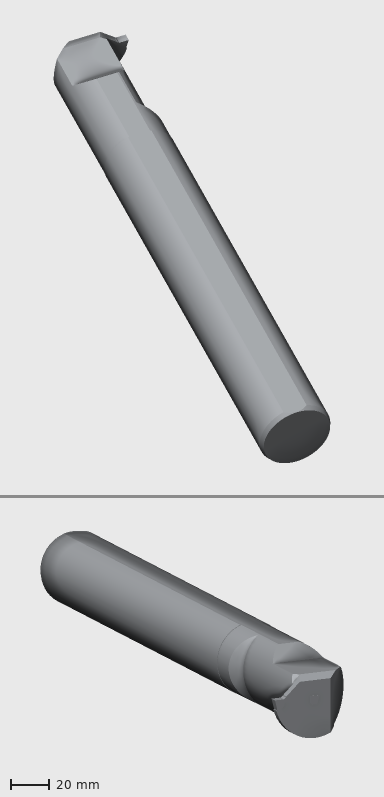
import cadquery as cq
import math

length = 300.0
shank_radius = 20.0
flat_height = 19.0
shank_start = 84.5
end_chamfer_length = 2.7
end_chamfer_depth = 1.2

neck_radius = 19.8

face_setback = 0.3

step_height = 10.8
step_floor_end = 32.5
step_end = 39.5
bevel_length = 6.0
bevel_front_height = 8.25

blade_thickness = 4.2
blade_radius = 22.95
blade_center_y = 4.0
ramp_outer_y = 20.5
ramp_outer_z = 1.2
ramp_inner_y = 10.0
ramp_inner_z = step_height
ramp_length = 5.7
ramp_wall_run = 0.8
ramp_wall_rise = 0.55

relief_reach = 15.3
relief_radius = 25.0
relief_center_y = relief_reach - relief_radius
relief_end = 62.7
relief_runout = 8.5
relief_flare = 4.5

corner_y = -5.0
corner_size = 24.0

tip_y = 27.1
insert_inner_y = 1.2
insert_height = 5.7
insert_ridge = 1.0
cutting_land = 5.5
land_slope = 1.0
tip_relief = 1.5
tip_depth = 4.8
tip_corner = 1.2

cut_size = 60.0


def rod(radius, start, end, y=0.0):
    """Round bar along X."""
    return cq.Workplane("YZ", origin=(start, y, 0)).circle(radius).extrude(end - start)


def slab_between_flats(start, end, bottom):
    """Block that limits a bar to the top flat and a chosen bottom height."""
    return (
        cq.Workplane("XY", origin=(start, 0, bottom))
        .rect(end - start, cut_size, centered=(False, True))
        .extrude(flat_height - bottom)
    )


def make_shank():
    profile = [
        (shank_start, 0),
        (shank_start, shank_radius),
        (length - end_chamfer_length, shank_radius),
        (length, shank_radius - end_chamfer_depth),
        (length, 0),
    ]
    bar = cq.Workplane("XY").polyline(profile).close().revolve(360, (0, 0, 0), (1, 0, 0))
    return bar.intersect(slab_between_flats(shank_start, length, -flat_height))


def make_relief_envelope():
    """Space left inside the eccentric relief, flaring out at its rear end."""
    flare_end = relief_end + relief_runout
    flare_radius = relief_radius + relief_flare
    profile = [
        (0, 0),
        (0, relief_radius),
        (relief_end, relief_radius),
        (flare_end, flare_radius),
        (flare_end, cut_size),
        (shank_start, cut_size),
        (shank_start, 0),
    ]
    turned = cq.Workplane("XY").polyline(profile).close().revolve(360, (0, 0, 0), (1, 0, 0))
    return turned.translate((0, relief_center_y, 0))


def make_neck():
    neck = rod(neck_radius, face_setback, shank_start)
    neck = neck.intersect(slab_between_flats(0, shank_start, -cut_size))
    return neck.intersect(make_relief_envelope())


def make_top_step_cut():
    profile = [
        (0, bevel_front_height),
        (bevel_length, step_height),
        (step_floor_end, step_height),
        (step_end, flat_height),
        (step_end, cut_size),
        (0, cut_size),
    ]
    return cq.Workplane("XZ").polyline(profile).close().extrude(cut_size, both=True)


def make_ramp_cut():
    """Material above the sloping top edge of the blade, with an inclined rear wall."""
    drop_y = ramp_outer_y - ramp_inner_y
    drop_z = ramp_inner_z - ramp_outer_z
    along_ramp = cq.Plane(
        origin=(0, ramp_outer_y, ramp_outer_z), xDir=(1, 0, 0), normal=(0, -drop_y, drop_z)
    )
    cut_height = step_height
    wall_top = ramp_length + ramp_wall_run * cut_height / ramp_wall_rise
    profile = [(0, 0), (ramp_length, 0), (wall_top, cut_height), (0, cut_height)]
    return cq.Workplane(along_ramp).polyline(profile).close().extrude(math.hypot(drop_y, drop_z))


def make_corner_cut():
    profile = [(0, corner_y), (corner_size, corner_y - corner_size), (0, corner_y - corner_size)]
    return cq.Workplane("XY").polyline(profile).close().extrude(cut_size, both=True)


def make_insert_body():
    """Bar lying along Y, with a lower land at each end of its top."""
    outer_land = tip_y - cutting_land
    inner_land = insert_inner_y + cutting_land
    profile = [
        (tip_y, 0),
        (outer_land, 0),
        (outer_land - land_slope, insert_ridge),
        (inner_land + land_slope, insert_ridge),
        (inner_land, 0),
        (insert_inner_y, 0),
        (insert_inner_y, -insert_height),
        (tip_y - tip_relief, -insert_height),
    ]
    bar = cq.Workplane("YZ", origin=(face_setback, 0, 0)).polyline(profile).close()
    return bar.extrude(blade_thickness - face_setback)


def make_insert_tip(end_y, inward):
    """Raised cutting tip on the insert face; inward is the Y direction to the insert middle."""
    relief_y = end_y + inward * tip_relief * tip_depth / insert_height
    root_y = end_y + inward * cutting_land
    profile = [
        (end_y, 0),
        (relief_y, -tip_depth),
        (root_y - inward * tip_corner, -tip_depth),
        (root_y, tip_corner - tip_depth),
        (root_y, 0),
    ]
    return cq.Workplane("YZ").polyline(profile).close().extrude(face_setback)


def make_insert():
    """Double-ended grooving insert, cutting edges on the axis height."""
    insert = make_insert_body()
    for end_y, inward in ((tip_y, -1), (insert_inner_y, 1)):
        insert = insert.union(make_insert_tip(end_y, inward))
    return insert


def make_seat_cut():
    """Slot for the insert, open upward where the cutting tip sticks out."""
    tip_clearance = (
        cq.Workplane("XY", origin=(0, ramp_outer_y, -insert_height))
        .rect(blade_thickness, cut_size, centered=False)
        .extrude(cut_size)
    )
    return make_insert_body().union(tip_clearance)


def make_holder():
    blade = rod(blade_radius, face_setback, blade_thickness, blade_center_y)
    holder = make_neck().union(blade).union(make_shank())
    for cut in (make_top_step_cut(), make_ramp_cut(), make_corner_cut(), make_seat_cut()):
        holder = holder.cut(cut)
    return holder


holder = make_holder()
insert = make_insert()

result = cq.Compound.makeCompound([holder.val(), insert.val()])